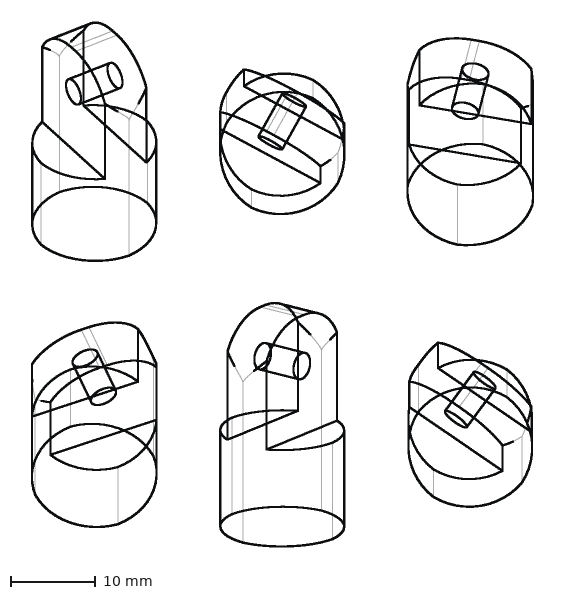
import math

import cadquery as cq

width = 14.98
height = 26.85

outline_arc_radius = 8.0

base_height = 12.0
tongue_thickness = 5.85
top_round_radius = 7.0
hole_diameter = 3.2
hole_depth_from_top = 6.25

half_width = width / 2
tongue_height = height - base_height


def make_column():
    """Full-height column with the four-arc outline."""
    half_chord = half_width / math.sqrt(2)
    sagitta = outline_arc_radius - math.sqrt(outline_arc_radius**2 - half_chord**2)
    arc_middle = (half_chord + sagitta) / math.sqrt(2)
    return (
        cq.Workplane("XY")
        .moveTo(half_width, 0)
        .threePointArc((arc_middle, arc_middle), (0, half_width))
        .threePointArc((-arc_middle, arc_middle), (-half_width, 0))
        .threePointArc((-arc_middle, -arc_middle), (0, -half_width))
        .threePointArc((arc_middle, -arc_middle), (half_width, 0))
        .close()
        .extrude(height)
    )


def make_base_envelope():
    """Block that keeps the whole column below the tongue."""
    return cq.Workplane("XY").rect(width, width).extrude(base_height)


def make_tongue_envelope():
    """Flat plate with rounded upper corners, as wide as the column."""
    plate = cq.Workplane("XY").workplane(offset=base_height)
    plate = plate.rect(width, tongue_thickness).extrude(tongue_height)
    return plate.edges("|Y and >Z").fillet(top_round_radius)


def make_cross_hole():
    """Hole running through the tongue along Y."""
    return (
        cq.Workplane("XZ")
        .center(0, height - hole_depth_from_top)
        .circle(hole_diameter / 2)
        .extrude(tongue_thickness, both=True)
    )


envelope = make_base_envelope().union(make_tongue_envelope())
result = make_column().intersect(envelope).cut(make_cross_hole())